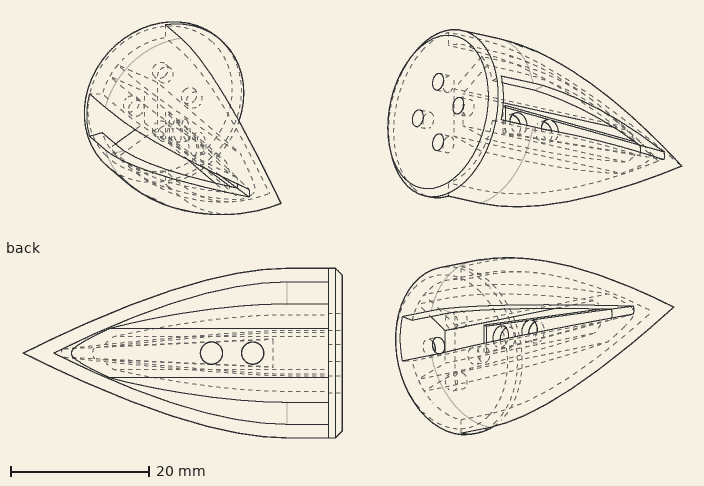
import cadquery as cq
import math


length = 46.2
radius = 24.6 / 2
wall = 2.0
flange_chamfer = 1.0
cylinder_end = 8.0
shoulder_reach = 13.65

flange_hole_diameter = 2.45
flange_hole_offset = 4.55
flange_hole_count = 4

slot_floor_y = -2.7
slot_floor_half_width = 2.0
slot_draft = 8.0
taper_start = 10.05
taper_slope = 0.046

trough_floor_y = -3.25
trough_half_width = 2.4
trough_wall_angle = 30.0
bolt_hole_diameter = 3.2
bolt_hole_x = (13.0, 18.95)

tip_angle = math.atan2(radius, length - cylinder_end - shoulder_reach)
inner_radius = radius - wall
inner_tip = length - wall / math.sin(tip_angle)
inner_shoulder_reach = inner_tip - inner_radius / math.tan(tip_angle) - cylinder_end

far_y = -1.2 * radius


def half_bullet(start, body_radius, tip, reach):
    """Half of a round bullet on the -Y side: a cylinder running into a curved point."""
    profile = (
        cq.Workplane("XZ")
        .moveTo(start, 0)
        .lineTo(start, body_radius)
        .lineTo(cylinder_end, body_radius)
        .bezier(
            [(cylinder_end, body_radius), (cylinder_end + reach, body_radius), (tip, 0)]
        )
        .close()
    )
    return profile.revolve(180, (0, 0, 0), (1, 0, 0))


def inner_bullet():
    """Space enclosed by the nose shell behind the flange."""
    return half_bullet(wall, inner_radius, inner_tip, inner_shoulder_reach)


def flange():
    disc = cq.Workplane("YZ").circle(radius).extrude(wall).faces("<X").chamfer(flange_chamfer)
    holes = (
        cq.Workplane("YZ")
        .polarArray(flange_hole_offset, 0, 360, flange_hole_count)
        .circle(flange_hole_diameter / 2)
        .extrude(wall)
    )
    return disc.cut(holes)


def slot_section(x, floor_half_width):
    """Cross-section of the slot at X = x, as a closed wire."""
    mouth_half_width = floor_half_width + (slot_floor_y - far_y) * math.tan(math.radians(slot_draft))
    corners = [
        (x, slot_floor_y, -floor_half_width),
        (x, far_y, -mouth_half_width),
        (x, far_y, mouth_half_width),
        (x, slot_floor_y, floor_half_width),
    ]
    return cq.Wire.makePolygon([cq.Vector(*corner) for corner in corners], close=True)


def slot_stretch(start, start_half_width, end, end_half_width):
    sections = [slot_section(start, start_half_width), slot_section(end, end_half_width)]
    return cq.Workplane(cq.Solid.makeLoft(sections, True))


def straight_slot():
    return slot_stretch(wall, slot_floor_half_width, taper_start, slot_floor_half_width)


def tapered_slot():
    end_half_width = slot_floor_half_width - taper_slope * (length - taper_start)
    return slot_stretch(taper_start, slot_floor_half_width, length, end_half_width)


def make_nose():
    """Flange and hollow half nose, opened along -Y by the slot."""
    shell = half_bullet(wall, radius, length, shoulder_reach).cut(inner_bullet())
    shell = shell.cut(straight_slot()).cut(tapered_slot())
    return flange().union(shell)


def wedge(floor_y, floor_half_width):
    """Prism along X whose sides spread from a flat floor toward -Y."""
    spread = (floor_y - far_y) * math.tan(math.radians(trough_wall_angle))
    return (
        cq.Workplane("YZ")
        .polyline(
            [
                (floor_y, -floor_half_width),
                (far_y, -floor_half_width - spread),
                (far_y, floor_half_width + spread),
                (floor_y, floor_half_width),
            ]
        )
        .close()
        .extrude(length)
    )


def make_trough():
    """Bent-sheet trough that spans the hollow of the nose behind the slot."""
    corner_growth = wall * math.tan(math.radians(90 - trough_wall_angle) / 2)
    outside = wedge(trough_floor_y + wall, trough_half_width + corner_growth)
    inside = wedge(trough_floor_y, trough_half_width)
    trough = inner_bullet().intersect(outside).cut(inside).cut(tapered_slot())
    bolt_holes = (
        cq.Workplane("XZ")
        .pushPoints([(x, 0) for x in bolt_hole_x])
        .circle(bolt_hole_diameter / 2)
        .extrude(-far_y)
    )
    return trough.cut(bolt_holes)


nose = make_nose()
trough = make_trough()

result = cq.Compound.makeCompound([nose.solids().val(), trough.solids().val()])